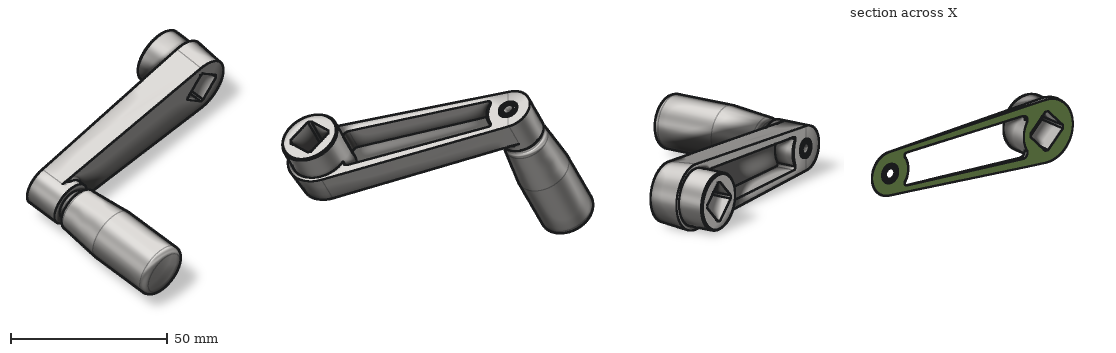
import cadquery as cq
import math

overall_length = 84.0

hub_radius = 9.5
hub_chamfer = 0.4
square_side = 10.0
square_corner_radius = 6.55

arm_start_x = 9.0
arm_back_x = 19.8
arm_hub_radius = 21.9 / 2
arm_draft = 5.0

boss_radius = 7.5
boss_start_x = 10.8
boss_end_x = 23.0
boss_fillet = 0.75

neck_radius = 5.0
grip_start_x = 25.45
grip_nose_radius = 7.6
grip_nose_round = 1.3
grip_cone_end_x = 41.5
grip_radius = 9.0
grip_round_start_x = 62.3
grip_dome_x = 64.5
grip_dome_radius = 7.3
grip_end_x = 65.5

spindle_radius = 2.8
hole_chamfer = 0.4
spindle_chamfer = 0.25
center_drill_radius = 1.8
center_drill_depth = 1.8

pocket_floor_x = 17.6
pocket_hub_y = -7.9
pocket_hub_half_width = 7.3
pocket_end_half_width = 5.3
pocket_end_clearance = 6.9
pocket_end_wall_radius = 10.1
pocket_hub_round = 1.85
pocket_end_round = 1.0

handle_y = -(overall_length - arm_hub_radius - grip_radius)
arm_back_radius = arm_hub_radius - (arm_back_x - arm_start_x) * math.tan(math.radians(arm_draft))


def rod(radius, start_x, end_x, y=0.0):
    """Solid cylinder along X."""
    return cq.Workplane("YZ", origin=(start_x, y, 0)).circle(radius).extrude(end_x - start_x)


def link_outline(hub_end_radius, x):
    """Closed wire at the given x: round hub end and straight sides tangent to hub end and boss."""
    lean = (hub_end_radius - boss_radius) / -handle_y
    rise = math.sqrt(1 - lean ** 2)
    hub_y, hub_z = -hub_end_radius * lean, hub_end_radius * rise
    boss_y, boss_z = handle_y - boss_radius * lean, boss_radius * rise
    return (
        cq.Workplane("YZ", origin=(x, 0, 0))
        .moveTo(hub_y, hub_z)
        .threePointArc((hub_end_radius, 0), (hub_y, -hub_z))
        .lineTo(boss_y, -boss_z)
        .lineTo(boss_y, boss_z)
        .close()
        .val()
    )


def make_arm_link():
    """Tapering link, drafted at the hub end, with the inner face cut on a slope."""
    inner_outline = link_outline(arm_hub_radius, arm_start_x)
    back_outline = link_outline(arm_back_radius, arm_back_x)
    link = cq.Workplane(cq.Solid.makeLoft([inner_outline, back_outline], True))
    face_slope = (boss_start_x - arm_start_x) / (arm_hub_radius - handle_y)
    far_y = handle_y - 2 * boss_radius
    far_x = arm_start_x + face_slope * (arm_hub_radius - far_y)
    inner_wedge = (
        cq.Workplane("XY")
        .polyline([(arm_start_x, arm_hub_radius), (far_x, far_y), (arm_start_x, far_y)])
        .close()
        .extrude(arm_hub_radius, both=True)
    )
    return link.cut(inner_wedge)


def make_pocket():
    """Tapering recess from under the hub to a round end wall near the boss."""
    pocket = (
        cq.Workplane("YZ")
        .polyline([
            (pocket_hub_y, pocket_hub_half_width),
            (handle_y, pocket_end_half_width),
            (handle_y, -pocket_end_half_width),
            (pocket_hub_y, -pocket_hub_half_width),
        ])
        .close()
        .extrude(pocket_floor_x)
        .edges("|X and >Y")
        .fillet(pocket_hub_round)
    )
    wall_y = handle_y + pocket_end_clearance - pocket_end_wall_radius
    pocket = pocket.cut(rod(pocket_end_wall_radius, 0, pocket_floor_x, wall_y))
    return pocket.edges("|X and <Y").fillet(pocket_end_round)


def make_square_hole():
    """Square through hole standing on its corner, with rounded-off corners."""
    square = cq.Workplane("YZ").rect(square_side, square_side).extrude(arm_back_x)
    square = square.rotate((0, 0, 0), (1, 0, 0), 45)
    return square.intersect(rod(square_corner_radius, 0, arm_back_x))


def make_spindle_hole():
    """Through hole in the boss, chamfered on the inner face."""
    hole = rod(spindle_radius, 0, boss_end_x, handle_y)
    sink = (
        cq.Workplane("YZ", origin=(boss_start_x, handle_y, 0))
        .circle(spindle_radius + hole_chamfer)
        .workplane(offset=hole_chamfer)
        .circle(spindle_radius)
        .loft()
    )
    return hole.union(sink)


def make_boss_fillet():
    """Concave ring between the arm back and the boss, only on the side facing the hub."""
    foot_radius = boss_radius + boss_fillet
    top_x = arm_back_x + boss_fillet
    middle = boss_fillet * (1 - math.sqrt(0.5))
    ring = (
        cq.Workplane("XY")
        .moveTo(arm_back_x, neck_radius)
        .lineTo(arm_back_x, foot_radius)
        .threePointArc((arm_back_x + middle, boss_radius + middle), (top_x, boss_radius))
        .lineTo(top_x, neck_radius)
        .close()
        .revolve(360, (0, 0, 0), (1, 0, 0))
    )
    arm_side = cq.Workplane("XY").box(top_x, foot_radius, 2 * boss_radius, centered=(False, False, True))
    return ring.intersect(arm_side).translate((0, handle_y, 0))


def make_arm():
    hub = rod(hub_radius, 0, arm_back_x).faces("<X").chamfer(hub_chamfer)
    boss = rod(boss_radius, boss_start_x, boss_end_x, handle_y)
    arm = make_arm_link().cut(make_pocket()).union(hub).union(boss).union(make_boss_fillet())
    return arm.cut(make_square_hole()).cut(make_spindle_hole())


def make_handle():
    """Grip, neck and spindle turned as one piece."""
    middle_angle = math.pi / 4
    round_length = grip_dome_x - grip_round_start_x
    round_height = grip_radius - grip_dome_radius
    round_middle = (
        grip_round_start_x + round_length * math.sin(middle_angle),
        grip_dome_radius + round_height * math.cos(middle_angle),
    )
    dome_height = grip_end_x - grip_dome_x
    dome_sphere = (grip_dome_radius ** 2 + dome_height ** 2) / (2 * dome_height)
    dome_middle_radius = grip_dome_radius / 2
    dome_middle_x = grip_end_x - dome_sphere + math.sqrt(dome_sphere ** 2 - dome_middle_radius ** 2)
    nose_middle = grip_nose_round * (1 - math.cos(middle_angle))
    profile = (
        cq.Workplane("XY")
        .moveTo(boss_start_x + center_drill_depth, 0)
        .lineTo(boss_start_x, center_drill_radius)
        .lineTo(boss_start_x, spindle_radius - spindle_chamfer)
        .lineTo(boss_start_x + spindle_chamfer, spindle_radius)
        .lineTo(boss_end_x, spindle_radius)
        .lineTo(boss_end_x, neck_radius)
        .lineTo(grip_start_x, neck_radius)
        .lineTo(grip_start_x, grip_nose_radius - grip_nose_round)
        .threePointArc((grip_start_x + nose_middle, grip_nose_radius - nose_middle),
                       (grip_start_x + grip_nose_round, grip_nose_radius))
        .lineTo(grip_cone_end_x, grip_radius)
        .lineTo(grip_round_start_x, grip_radius)
        .threePointArc(round_middle, (grip_dome_x, grip_dome_radius))
        .threePointArc((dome_middle_x, dome_middle_radius), (grip_end_x, 0))
        .close()
    )
    return profile.revolve(360, (0, 0, 0), (1, 0, 0)).translate((0, handle_y, 0))


arm = make_arm()
handle = make_handle()
result = cq.Compound.makeCompound([arm.val(), handle.val()])